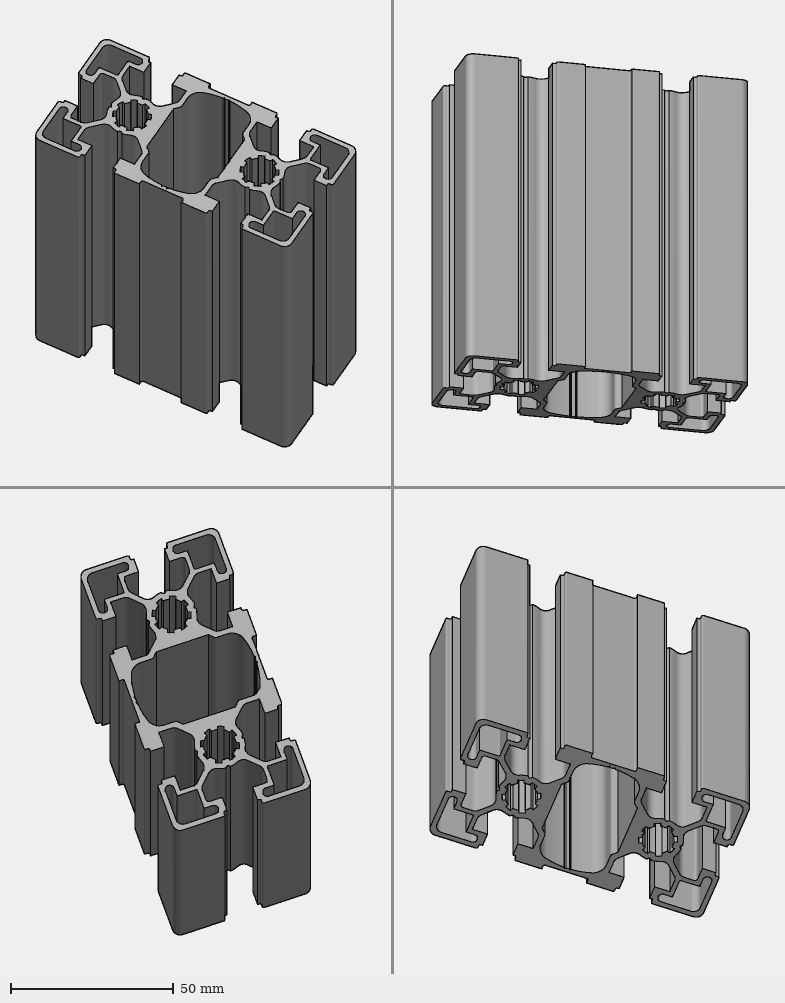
import cadquery as cq
import math

MODULE = 45.0
WIDTH = 2 * MODULE
LENGTH = 100.0
HALF_X = WIDTH / 2
HALF_Y = MODULE / 2
CORE_X = MODULE / 2
OUTER_RADIUS = 2.5

MOUTH_HALF = 6.1
MOUTH_DEPTH = 1.6
MOUTH_RADIUS = 0.5
THROAT_HALF = 5.0
LIP_DEPTH = 6.05
CHAMBER_HALF = 10.0
CHAMBER_DEPTH = 11.2
CHAMBER_RADIUS = 2.5
FLOOR_RADIUS = 2.8
END_SHOULDER_RADIUS = 1.0

CORE_RADIUS = 7.85
BORE_RADIUS = 6.0
TOOTH_TIP_RADIUS = 5.0
TOOTH_COUNT = 8
GULLET_WIDTH = 2.0

CORE_GROOVE_HALF = 0.8
CORE_GROOVE_RADIUS = 0.55

HOLLOW_WALL = 1.65
HOLLOW_ARM_INNER = 4.5
HOLLOW_ELBOW = 11.05
HOLLOW_ARM_END = 15.2
HOLLOW_CORNER_RADIUS = 2.2
HOLLOW_END_RADIUS = 1.4
HOLLOW_ELBOW_RADIUS = 0.4

CHAMBER_WAIST_X = 12.5
CHAMBER_WAIST_Y = 8.5
CHAMBER_SIDE_X = 10.8
CHAMBER_SIDE_Y = CHAMBER_WAIST_Y + CHAMBER_WAIST_X - CHAMBER_SIDE_X
CHAMBER_CORNER_Y = 17.2
CHAMBER_CROWN_Y = 19.55
CHAMBER_CORNER_RADIUS = 4.5
CHAMBER_WAIST_RADIUS = 1.0

CROWN_GROOVE_X = 0.9
CROWN_GROOVE_HALF = 0.3

RECESS_HALF = 7.4
RECESS_DEPTH = MOUTH_DEPTH
RECESS_RADIUS = 0.5


def prism(points):
    """Full-length prism on a closed polygon."""
    return cq.Workplane("XY").polyline(points).close().extrude(LENGTH)


def round_edges(body, points, radius):
    """Fillet the lengthwise edges that pass through the given XY points."""
    edges = cq.Workplane(body.val())
    picked = []
    for x, y in points:
        picked += body.edges(cq.NearestToPointSelector((x, y, LENGTH / 2))).vals()
    return edges.newObject(picked).fillet(radius)


def both_sides(x, y):
    """A point and its mirror image about the Y axis."""
    return [(-x, y), (x, y)]


def mirrored_four_ways(body):
    """The body with its mirror images about the XZ and YZ planes."""
    pair = body.union(body.mirror("YZ"))
    return pair.union(pair.mirror("XZ"))


def slot(shoulder_radius=0):
    """T-slot cutter opening at y = 0 toward +Y, reaching in to the core."""
    flank_sum = CHAMBER_HALF + CHAMBER_DEPTH
    right = [
        (MOUTH_HALF, 0),
        (MOUTH_HALF, -MOUTH_DEPTH),
        (THROAT_HALF, -MOUTH_DEPTH),
        (THROAT_HALF, -LIP_DEPTH),
        (CHAMBER_HALF, -LIP_DEPTH),
        (CHAMBER_HALF, -CHAMBER_DEPTH),
    ]
    left = [(-x, y) for x, y in reversed(right)]
    core_y = -MODULE / 2
    core = cq.Workplane("XY").center(0, core_y).circle(CORE_RADIUS).extrude(LENGTH)
    cutter = prism(right + [(0, -flank_sum)] + left).cut(core)

    offset = MODULE / 2 - flank_sum
    root_x = (math.sqrt(2 * CORE_RADIUS**2 - offset**2) - offset) / 2
    root_y = root_x - flank_sum
    cutter = round_edges(cutter, both_sides(root_x, root_y), FLOOR_RADIUS)
    cutter = round_edges(cutter, both_sides(CHAMBER_HALF, -CHAMBER_DEPTH), CHAMBER_RADIUS)
    cutter = round_edges(cutter, both_sides(MOUTH_HALF, -MOUTH_DEPTH), MOUTH_RADIUS)
    if shoulder_radius > 0:
        cutter = round_edges(cutter, both_sides(CHAMBER_HALF, -LIP_DEPTH), shoulder_radius)

    rim_y = core_y + CORE_RADIUS
    groove_bottom = (0, rim_y - CORE_GROOVE_HALF)
    groove = prism(both_sides(CORE_GROOVE_HALF, rim_y) + [groove_bottom])
    return cutter.union(round_edges(groove, [groove_bottom], CORE_GROOVE_RADIUS))


def core_bore():
    """Bore cutter with parallel-sided gullets that leave tapered teeth, centred on the origin."""
    gullet_bound = cq.Workplane("XY").circle(BORE_RADIUS).extrude(LENGTH)
    bore = cq.Workplane("XY").circle(TOOTH_TIP_RADIUS).extrude(LENGTH)
    bar = cq.Workplane("XY").rect(2 * BORE_RADIUS, GULLET_WIDTH).extrude(LENGTH).intersect(gullet_bound)
    pitch = 360 / TOOTH_COUNT
    for i in range(TOOTH_COUNT // 2):
        bore = bore.union(bar.rotate((0, 0, 0), (0, 0, 1), (i + 0.5) * pitch))
    return bore


def corner_hollow():
    """L-shaped hollow in the +X +Y corner."""
    outer_x = HALF_X - HOLLOW_WALL
    outer_y = HALF_Y - HOLLOW_WALL
    inner_x = HALF_X - HOLLOW_ARM_INNER
    inner_y = HALF_Y - HOLLOW_ARM_INNER
    elbow_x = HALF_X - HOLLOW_ELBOW
    elbow_y = HALF_Y - HOLLOW_ELBOW
    end_x = HALF_X - HOLLOW_ARM_END
    end_y = HALF_Y - HOLLOW_ARM_END
    arm_ends = [(end_x, outer_y), (end_x, inner_y), (inner_x, end_y), (outer_x, end_y)]
    hollow = prism(
        [
            (outer_x, outer_y),
            *arm_ends[:2],
            (elbow_x, inner_y),
            (elbow_x, elbow_y),
            (inner_x, elbow_y),
            *arm_ends[2:],
        ]
    )
    hollow = round_edges(hollow, arm_ends, HOLLOW_END_RADIUS)
    hollow = round_edges(hollow, [(outer_x, outer_y)], HOLLOW_CORNER_RADIUS)
    return round_edges(hollow, [(elbow_x, elbow_y)], HOLLOW_ELBOW_RADIUS)


def central_chamber():
    """Chamber with bowed ends, a wider waist and a groove pair in each end."""
    chamber = (
        cq.Workplane("XY")
        .moveTo(CHAMBER_WAIST_X, -CHAMBER_WAIST_Y)
        .lineTo(CHAMBER_WAIST_X, CHAMBER_WAIST_Y)
        .lineTo(CHAMBER_SIDE_X, CHAMBER_SIDE_Y)
        .lineTo(CHAMBER_SIDE_X, CHAMBER_CORNER_Y)
        .threePointArc((0, CHAMBER_CROWN_Y), (-CHAMBER_SIDE_X, CHAMBER_CORNER_Y))
        .lineTo(-CHAMBER_SIDE_X, CHAMBER_SIDE_Y)
        .lineTo(-CHAMBER_WAIST_X, CHAMBER_WAIST_Y)
        .lineTo(-CHAMBER_WAIST_X, -CHAMBER_WAIST_Y)
        .lineTo(-CHAMBER_SIDE_X, -CHAMBER_SIDE_Y)
        .lineTo(-CHAMBER_SIDE_X, -CHAMBER_CORNER_Y)
        .threePointArc((0, -CHAMBER_CROWN_Y), (CHAMBER_SIDE_X, -CHAMBER_CORNER_Y))
        .lineTo(CHAMBER_SIDE_X, -CHAMBER_SIDE_Y)
        .close()
        .extrude(LENGTH)
    )
    corners = both_sides(CHAMBER_SIDE_X, CHAMBER_CORNER_Y) + both_sides(CHAMBER_SIDE_X, -CHAMBER_CORNER_Y)
    chamber = round_edges(chamber, corners, CHAMBER_CORNER_RADIUS)
    waist_ends = both_sides(CHAMBER_SIDE_X, CHAMBER_SIDE_Y) + both_sides(CHAMBER_SIDE_X, -CHAMBER_SIDE_Y)
    chamber = round_edges(chamber, waist_ends, CHAMBER_WAIST_RADIUS)
    for x in (-CROWN_GROOVE_X, CROWN_GROOVE_X):
        groove = cq.Workplane("XY").polygon(4, 2 * CROWN_GROOVE_HALF).extrude(LENGTH)
        for y in (-CHAMBER_CROWN_Y, CHAMBER_CROWN_Y):
            chamber = chamber.union(groove.translate((x, y, 0)))
    return chamber


def face_recess():
    """Shallow recess in the +Y face with rounded floor corners."""
    floor_y = HALF_Y - RECESS_DEPTH
    recess = prism(
        [(-RECESS_HALF, HALF_Y), (RECESS_HALF, HALF_Y), (RECESS_HALF, floor_y), (-RECESS_HALF, floor_y)]
    )
    return round_edges(recess, both_sides(RECESS_HALF, floor_y), RECESS_RADIUS)


def profile():
    """The complete extruded profile."""
    body = cq.Workplane("XY").rect(WIDTH, MODULE).extrude(LENGTH)
    body = body.edges("|Z").fillet(OUTER_RADIUS)

    long_face_slot = slot().translate((CORE_X, HALF_Y, 0))
    body = body.cut(mirrored_four_ways(long_face_slot))
    end_slot = slot(END_SHOULDER_RADIUS).rotate((0, 0, 0), (0, 0, 1), -90).translate((HALF_X, 0, 0))
    body = body.cut(end_slot).cut(end_slot.mirror("YZ"))

    bore = core_bore().translate((CORE_X, 0, 0))
    body = body.cut(bore).cut(bore.mirror("YZ"))
    body = body.cut(mirrored_four_ways(corner_hollow()))
    body = body.cut(central_chamber())
    recess = face_recess()
    body = body.cut(recess).cut(recess.mirror("XZ"))

    mouth_edges = []
    for i in (-1, 1):
        for j in (-1, 1):
            mouth_edges.append((i * (CORE_X - MOUTH_HALF), j * HALF_Y))
            mouth_edges.append((i * (CORE_X + MOUTH_HALF), j * HALF_Y))
            mouth_edges.append((i * HALF_X, j * MOUTH_HALF))
    return round_edges(body, mouth_edges, MOUTH_RADIUS)


result = profile()